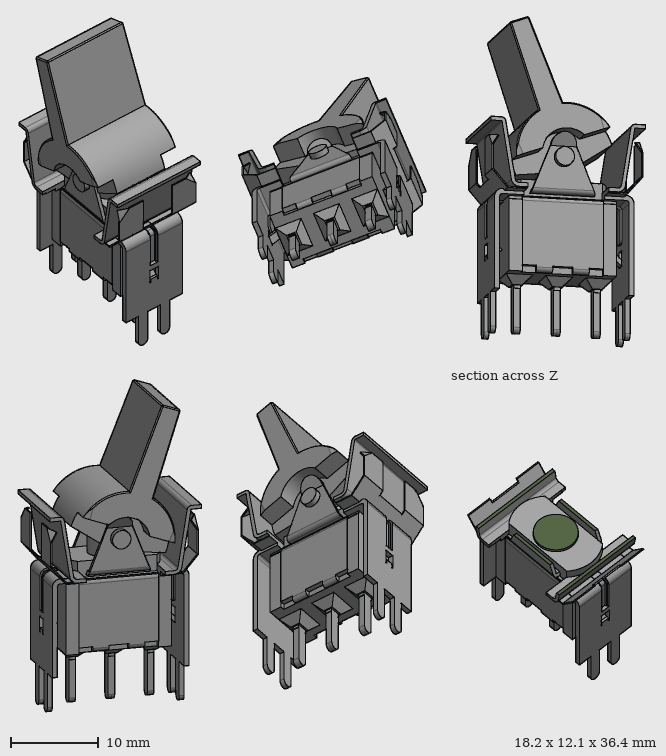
import cadquery as cq
import math


BODY_HALF_X = 6.31
BODY_HALF_Y = 3.40
BODY_END_TOP = 8.42
BODY_TOP = 8.84
CAP_HALF_Y = 3.30
CORE_HALF_Y = 2.85
BLOCK_TOP = 10.88
BLOCK_HALF_X = 5.82
BUSHING_DIAMETER = 5.2

FRAME_HALF_X = 4.77
FRAME_HALF_Y = 3.45
FRAME_BOTTOM = 0.75
FRAME_TOP = 8.95
FRAME_BEND = 0.66
TAB_CENTER_X = 2.15
TAB_WIDTH = 1.92
TAB_BOTTOM = 0.05
TAB_BEND = 0.5

TERMINAL_PITCH = 4.70
TERMINAL_THICKNESS = 0.80
TERMINAL_WIDTH = 1.26
TERMINAL_BOTTOM = -6.60
TERMINAL_NECK_WIDTH = 1.40
TERMINAL_NECK_BOTTOM = -1.41
BOSS_HEIGHT = 1.02
BOSS_BASE = (3.16, 3.60)
BOSS_TIP = (1.22, 1.66)

BRACKET_HALF_X = 8.20
BRACKET_HALF_Y = 4.11
WAIST_HALF_X = 4.74
WAIST_HALF_Y = 2.85
BRACKET_THICKNESS = 0.60
BRACKET_TOP = 9.38
BRACKET_BEND = 0.95
PLATE_BOTTOM = -2.32
LEG_BOTTOM = -7.02
LEG_WIDTH = 1.34
LEG_OFFSET = 1.59
RIB_BOTTOM = 4.46
RIB_DEPTH = 0.22
RIB_WIDTH = 1.44
RIB_END_RADIUS = 0.35
GROOVE_WIDTH = 1.10
GROOVE_FLOOR_WIDTH = 0.76
GROOVE_FLOOR_DEPTH = 0.44
RIB_START_X = 6.40
WINDOW_WIDTH = 1.24
WINDOW_BOTTOM = 1.88
WINDOW_TOP = 3.71
TANG_WIDTH = 1.00
TANG_ROOT_TOP = 2.37
TANG_RISE = 1.17
TANG_TIP_STEP = 0.39

CLIP_HALF_X = 9.08
CLIP_HALF_Y = 12.07 / 2
CLIP_THICKNESS = 0.46
TRAY_BOTTOM = 9.27
TRAY_TOP = TRAY_BOTTOM + CLIP_THICKNESS
TRAY_CORNER_X = 6.58
FLANGE_CORNER_X = 7.81
FLANGE_BOTTOM = 16.85
TRAY_BEND = 0.45
FLANGE_BEND = 0.11

EAR_OUTER_Y = 3.78
EAR_BEND = 0.50
EAR_BASE_HALF_X = 3.77
EAR_SHOULDER_HALF_X = 1.48
EAR_SHOULDER_Z = 14.97
EAR_TOP = 16.35
EAR_FLARE_Z = 14.80
EAR_FLARE_ANGLE = 30

WING_HALF_Y = 5.56
WING_GAP_HALF_Y = 2.10
WING_THICKNESS = 0.16
WING_OUTER_X = 8.86
WING_TOP = 15.62
WING_KNEE_Z = 11.27
WING_FOOT_X = 7.03
WING_FOOT_Z = 9.17
WING_GAP_BOTTOM = 10.80
FLAP_SIZE = 1.45
FLAP_ANGLE = 50

PIVOT_Z = 13.50
PIVOT_DIAMETER = 2.2
PIVOT_HALF_LENGTH = 4.50
TILT = 20
DRUM_RADIUS = 6.03
DRUM_CORNER_HEIGHT = -0.27
KEEL_ANGLE = 13.4
KEEL_HALF_Y = 3.48
CHEEK_HALF_Y = 5.80
CHEEK_BOTTOM = 1.49
CHEEK_CORNER_X = 5.05
CHEEK_CORNER_DEPTH = 0.25
CHEEK_DRAFT = 1.0
EAR_CLEARANCE_RADIUS = 3.0
LEVER_ROOT_HALF_X = 1.52
LEVER_TIP_HALF_X = 1.18
LEVER_TIP = 16.495
EDGE_BREAK = 0.15


def box(x0, x1, y0, y1, z0, z1):
    """Axis-aligned block between two corners."""
    return cq.Workplane("XY").box(x1 - x0, y1 - y0, z1 - z0, centered=False).translate((x0, y0, z0))


def prism(points, half_width, plane="XZ"):
    """Prism of a closed outline, reaching half_width to both sides of its plane."""
    return cq.Workplane(plane).polyline(points).close().extrude(half_width, both=True)


def with_mirror(solid, plane):
    return solid.union(solid.mirror(plane))


def bent_strip(points, thickness, half_width, plane="XZ"):
    """Sheet whose one face follows the open path; the sheet lies to the left of the path."""
    offset = []
    for i, (x, z) in enumerate(points):
        before = points[max(i - 1, 0)]
        after = points[min(i + 1, len(points) - 1)]
        angle_in = math.atan2(z - before[1], x - before[0])
        angle_out = math.atan2(after[1] - z, after[0] - x)
        if i == 0:
            angle_in = angle_out
        if i == len(points) - 1:
            angle_out = angle_in
        normal = (angle_in + angle_out) / 2 + math.pi / 2
        reach = thickness / math.cos((angle_out - angle_in) / 2)
        offset.append((x + reach * math.cos(normal), z + reach * math.sin(normal)))
    return prism(points + offset[::-1], half_width, plane)


def waist_notches(bottom, top):
    """Room for the ears on both sides, where the stacked sheets narrow to a waist."""
    notch = box(-WAIST_HALF_X, WAIST_HALF_X, WAIST_HALF_Y, CLIP_HALF_Y, bottom, top)
    return with_mirror(notch, "XZ")


def make_body():
    ends = box(-BODY_HALF_X, BODY_HALF_X, -BODY_HALF_Y, BODY_HALF_Y, 0, BODY_END_TOP)
    recess = box(-FRAME_HALF_X, FRAME_HALF_X, CORE_HALF_Y, BODY_HALF_Y, 0, BODY_END_TOP)
    body = ends.cut(with_mirror(recess, "XZ"))
    body = body.union(box(-BODY_HALF_X, BODY_HALF_X, -CAP_HALF_Y, CAP_HALF_Y, BODY_END_TOP, BODY_TOP))
    block = (
        cq.Workplane("XY")
        .moveTo(-FRAME_HALF_X, -CORE_HALF_Y)
        .lineTo(FRAME_HALF_X, -CORE_HALF_Y)
        .threePointArc((BLOCK_HALF_X, 0), (FRAME_HALF_X, CORE_HALF_Y))
        .lineTo(-FRAME_HALF_X, CORE_HALF_Y)
        .threePointArc((-BLOCK_HALF_X, 0), (-FRAME_HALF_X, -CORE_HALF_Y))
        .close()
        .extrude(BLOCK_TOP)
    )
    bushing = cq.Workplane("XY").circle(BUSHING_DIAMETER / 2).extrude(PIVOT_Z)
    return body.union(block).union(bushing)


def make_frame():
    frame = box(-FRAME_HALF_X, FRAME_HALF_X, -FRAME_HALF_Y, FRAME_HALF_Y, FRAME_BOTTOM, FRAME_TOP)
    frame = frame.edges("|X and >Z").fillet(FRAME_BEND)
    for x in (-TAB_CENTER_X, TAB_CENTER_X):
        tab = box(
            x - TAB_WIDTH / 2, x + TAB_WIDTH / 2, -FRAME_HALF_Y, FRAME_HALF_Y, TAB_BOTTOM, FRAME_BOTTOM
        )
        frame = frame.union(tab.edges("|X and <Z").fillet(TAB_BEND))
    return frame


def make_terminals():
    radius = TERMINAL_WIDTH / 2
    blade = box(
        -TERMINAL_THICKNESS / 2, TERMINAL_THICKNESS / 2, -radius, radius, TERMINAL_BOTTOM + radius, 0
    )
    tip = (
        cq.Workplane("YZ", origin=(0, 0, TERMINAL_BOTTOM + radius))
        .circle(radius)
        .extrude(TERMINAL_THICKNESS / 2, both=True)
    )
    boss = (
        cq.Workplane("XY", origin=(0, 0, -BOSS_HEIGHT))
        .rect(*BOSS_TIP)
        .workplane(offset=BOSS_HEIGHT)
        .rect(*BOSS_BASE)
        .loft()
    )
    neck = box(
        -TERMINAL_THICKNESS / 2, TERMINAL_THICKNESS / 2,
        -TERMINAL_NECK_WIDTH / 2, TERMINAL_NECK_WIDTH / 2,
        TERMINAL_NECK_BOTTOM, -BOSS_HEIGHT,
    )
    terminal = blade.union(tip).union(neck).union(boss)
    terminals = terminal
    for x in (-TERMINAL_PITCH, TERMINAL_PITCH):
        terminals = terminals.union(terminal.translate((x, 0, 0)))
    return terminals


def bracket_shell(inset, half_y, bottom):
    """Solid arch under the bracket's outer skin, moved inward by inset."""
    arch = box(
        -BRACKET_HALF_X + inset, BRACKET_HALF_X - inset, -half_y, half_y, bottom, BRACKET_TOP - inset
    )
    return arch.edges("|Y and >Z").fillet(BRACKET_BEND - inset)


def make_bracket():
    inner = BRACKET_THICKNESS
    bracket = bracket_shell(0, BRACKET_HALF_Y, PLATE_BOTTOM)
    bracket = bracket.cut(bracket_shell(inner, BRACKET_HALF_Y, PLATE_BOTTOM))

    rib = bracket_shell(inner, RIB_WIDTH / 2, RIB_BOTTOM)
    rib = rib.edges("|X and <Z").fillet(RIB_END_RADIUS)
    rib = rib.cut(bracket_shell(inner + RIB_DEPTH, RIB_WIDTH / 2, RIB_BOTTOM))
    groove_half = GROOVE_WIDTH / 2
    groove = bracket_shell(0, groove_half, RIB_BOTTOM).cut(bracket_shell(RIB_DEPTH, groove_half, RIB_BOTTOM))
    floor_half = GROOVE_FLOOR_WIDTH / 2
    floor = bracket_shell(0, floor_half, RIB_BOTTOM)
    floor = floor.cut(bracket_shell(GROOVE_FLOOR_DEPTH, floor_half, RIB_BOTTOM))
    middle = box(-RIB_START_X, RIB_START_X, -RIB_WIDTH, RIB_WIDTH, RIB_BOTTOM, BRACKET_TOP)
    bracket = bracket.union(rib.cut(middle)).cut(groove.union(floor).cut(middle))

    side = box(
        -BRACKET_HALF_X, -BRACKET_HALF_X + inner,
        -WINDOW_WIDTH / 2, WINDOW_WIDTH / 2, WINDOW_BOTTOM, WINDOW_TOP,
    )
    bracket = bracket.cut(with_mirror(side, "YZ"))
    bracket = bracket.cut(waist_notches(BRACKET_TOP - inner, BRACKET_TOP))
    return bracket.union(with_mirror(make_bracket_leg_parts(), "YZ"))


def make_bracket_leg_parts():
    """Locking tang and the two solder legs of the -X side."""
    outer_x = -BRACKET_HALF_X
    inner_x = outer_x + BRACKET_THICKNESS
    tip_low = (inner_x + TANG_RISE, WINDOW_BOTTOM + TANG_RISE)
    tip_high = (tip_low[0] - TANG_TIP_STEP, tip_low[1] + TANG_TIP_STEP)
    tang = prism(
        [
            (outer_x, WINDOW_BOTTOM),
            (outer_x, TANG_ROOT_TOP),
            (tip_high[0] - (tip_high[1] - TANG_ROOT_TOP), TANG_ROOT_TOP),
            tip_high,
            tip_low,
            (inner_x, WINDOW_BOTTOM),
        ],
        TANG_WIDTH / 2,
    )
    parts = tang
    radius = LEG_WIDTH / 2
    for y in (-LEG_OFFSET, LEG_OFFSET):
        blade = box(outer_x, inner_x, y - radius, y + radius, LEG_BOTTOM + radius, PLATE_BOTTOM)
        tip = (
            cq.Workplane("YZ", origin=(outer_x, y, LEG_BOTTOM + radius))
            .circle(radius)
            .extrude(BRACKET_THICKNESS)
        )
        parts = parts.union(blade).union(tip)
    return parts


def make_clip():
    left = [
        (-CLIP_HALF_X, FLANGE_BOTTOM),
        (-FLANGE_CORNER_X, FLANGE_BOTTOM),
        (-TRAY_CORNER_X, TRAY_BOTTOM),
    ]
    right = [(-x, z) for x, z in reversed(left)]
    clip = bent_strip(left + right, CLIP_THICKNESS, CLIP_HALF_Y)

    def bends_near(z):
        """Selects the bend edges whose height is within half a sheet thickness of z."""
        near = CLIP_THICKNESS / 2
        return cq.selectors.BoxSelector((-CLIP_HALF_X, -near, z - near), (CLIP_HALF_X, near, z + near))

    flange_top = FLANGE_BOTTOM + CLIP_THICKNESS
    clip = clip.edges("|Y").edges(bends_near(TRAY_TOP)).fillet(TRAY_BEND)
    clip = clip.edges("|Y").edges(bends_near(TRAY_BOTTOM)).fillet(TRAY_BEND + CLIP_THICKNESS)
    clip = clip.edges("|Y and (not <X) and (not >X)").edges(bends_near(flange_top)).fillet(
        FLANGE_BEND + CLIP_THICKNESS
    )
    clip = clip.edges("|Y and (not <X) and (not >X)").edges(bends_near(FLANGE_BOTTOM)).fillet(FLANGE_BEND)
    return clip.cut(waist_notches(TRAY_BOTTOM, TRAY_TOP))


def make_ears():
    """Ears bent up from the clip tray, their rounded tips flaring outward."""
    flare_rise = EAR_TOP - EAR_FLARE_Z + CLIP_THICKNESS
    flare_reach = flare_rise * math.tan(math.radians(EAR_FLARE_ANGLE))
    bend_corner = (0, EAR_OUTER_Y, TRAY_BOTTOM)
    path = [
        (WAIST_HALF_Y - CLIP_THICKNESS, TRAY_BOTTOM),
        (EAR_OUTER_Y, TRAY_BOTTOM),
        (EAR_OUTER_Y, EAR_FLARE_Z),
        (EAR_OUTER_Y + flare_reach, EAR_FLARE_Z + flare_rise),
    ]
    sheet = bent_strip(path, CLIP_THICKNESS, EAR_BASE_HALF_X, plane="YZ")
    sheet = sheet.edges("|X").edges(cq.selectors.NearestToPointSelector(bend_corner)).fillet(EAR_BEND)
    outline = (
        cq.Workplane("XZ")
        .moveTo(-EAR_BASE_HALF_X, TRAY_BOTTOM)
        .lineTo(EAR_BASE_HALF_X, TRAY_BOTTOM)
        .lineTo(EAR_SHOULDER_HALF_X, EAR_SHOULDER_Z)
        .threePointArc((0, EAR_TOP), (-EAR_SHOULDER_HALF_X, EAR_SHOULDER_Z))
        .close()
        .extrude(CLIP_HALF_Y, both=True)
    )
    return with_mirror(sheet.intersect(outline), "XZ")


def make_wings():
    left = [
        (-WING_OUTER_X, WING_TOP),
        (-WING_OUTER_X, WING_KNEE_Z),
        (-WING_FOOT_X, WING_FOOT_Z),
    ]
    right = [(-x, z) for x, z in reversed(left)]
    wings = bent_strip(left + right, WING_THICKNESS, WING_HALF_Y)
    gap = box(
        -CLIP_HALF_X, CLIP_HALF_X, -WING_GAP_HALF_Y, WING_GAP_HALF_Y, WING_GAP_BOTTOM, WING_TOP
    )
    wings = wings.cut(gap).cut(waist_notches(WING_FOOT_Z, TRAY_BOTTOM + WING_THICKNESS))

    corner = (
        cq.Workplane("YZ", origin=(-WING_OUTER_X, 0, 0))
        .polyline(
            [
                (-WING_HALF_Y, WING_TOP - FLAP_SIZE),
                (-WING_HALF_Y, WING_TOP),
                (-WING_HALF_Y + FLAP_SIZE, WING_TOP),
            ]
        )
        .close()
        .extrude(WING_THICKNESS)
    )
    fold_start = (-WING_OUTER_X, -WING_HALF_Y, WING_TOP - FLAP_SIZE)
    fold_end = (-WING_OUTER_X, -WING_HALF_Y + FLAP_SIZE, WING_TOP)
    flap = corner.rotate(fold_start, fold_end, FLAP_ANGLE)
    corners = with_mirror(with_mirror(corner, "XZ"), "YZ")
    flaps = with_mirror(with_mirror(flap, "XZ"), "YZ")
    return wings.cut(corners).union(flaps)


def make_rocker():
    """Rocker built upright around the pivot axis, then tilted and lifted into place."""
    corner_x = math.sqrt(DRUM_RADIUS**2 - DRUM_CORNER_HEIGHT**2)
    keel_z = DRUM_CORNER_HEIGHT - corner_x * math.tan(math.radians(KEEL_ANGLE))
    keel = (
        cq.Workplane("XZ")
        .moveTo(0, keel_z)
        .lineTo(corner_x, DRUM_CORNER_HEIGHT)
        .threePointArc((0, DRUM_RADIUS), (-corner_x, DRUM_CORNER_HEIGHT))
        .close()
        .extrude(KEEL_HALF_Y, both=True)
    )

    cheek_x = math.sqrt(DRUM_RADIUS**2 - CHEEK_BOTTOM**2)
    root_z = math.sqrt(DRUM_RADIUS**2 - LEVER_ROOT_HALF_X**2)
    mid_x = DRUM_RADIUS * math.sin(math.radians(45))
    head = (
        cq.Workplane("XZ")
        .moveTo(-cheek_x, CHEEK_BOTTOM)
        .lineTo(cheek_x, CHEEK_BOTTOM)
        .threePointArc((mid_x, mid_x), (LEVER_ROOT_HALF_X, root_z))
        .lineTo(LEVER_TIP_HALF_X, LEVER_TIP)
        .lineTo(-LEVER_TIP_HALF_X, LEVER_TIP)
        .lineTo(-LEVER_ROOT_HALF_X, root_z)
        .threePointArc((-mid_x, mid_x), (-cheek_x, CHEEK_BOTTOM))
        .close()
        .extrude(CHEEK_HALF_Y, both=True)
    )
    tip_half_y = CHEEK_HALF_Y - (LEVER_TIP - CHEEK_BOTTOM) * math.tan(math.radians(CHEEK_DRAFT))
    draft = (
        cq.Workplane("YZ")
        .polyline(
            [
                (-CHEEK_HALF_Y, CHEEK_BOTTOM),
                (CHEEK_HALF_Y, CHEEK_BOTTOM),
                (tip_half_y, LEVER_TIP),
                (-tip_half_y, LEVER_TIP),
            ]
        )
        .close()
        .extrude(DRUM_RADIUS, both=True)
    )
    head = head.intersect(draft)
    lever_edges = cq.selectors.BoxSelector(
        (-DRUM_RADIUS, -CHEEK_HALF_Y, CHEEK_BOTTOM + EDGE_BREAK),
        (DRUM_RADIUS, CHEEK_HALF_Y, LEVER_TIP + EDGE_BREAK),
    )
    head = head.edges("(not |Y) or >Z").edges(lever_edges).chamfer(EDGE_BREAK)

    corner = (
        cq.Workplane("XY")
        .polyline(
            [
                (CHEEK_CORNER_X, CHEEK_HALF_Y),
                (DRUM_RADIUS, CHEEK_HALF_Y),
                (DRUM_RADIUS, CHEEK_HALF_Y - CHEEK_CORNER_DEPTH),
            ]
        )
        .close()
        .extrude(DRUM_RADIUS)
    )
    head = head.cut(with_mirror(with_mirror(corner, "XZ"), "YZ"))
    clearance = cq.Workplane("XZ").circle(EAR_CLEARANCE_RADIUS).extrude(CHEEK_HALF_Y, both=True)

    pin = cq.Workplane("XZ").circle(PIVOT_DIAMETER / 2).extrude(PIVOT_HALF_LENGTH, both=True)
    rocker = head.cut(clearance).union(keel).union(pin)
    return rocker.rotate((0, 0, 0), (0, 1, 0), -TILT).translate((0, 0, PIVOT_Z))


result = (
    make_body()
    .union(make_frame())
    .union(make_terminals())
    .union(make_bracket())
    .union(make_wings())
    .union(make_clip())
    .union(make_ears())
    .union(make_rocker())
)